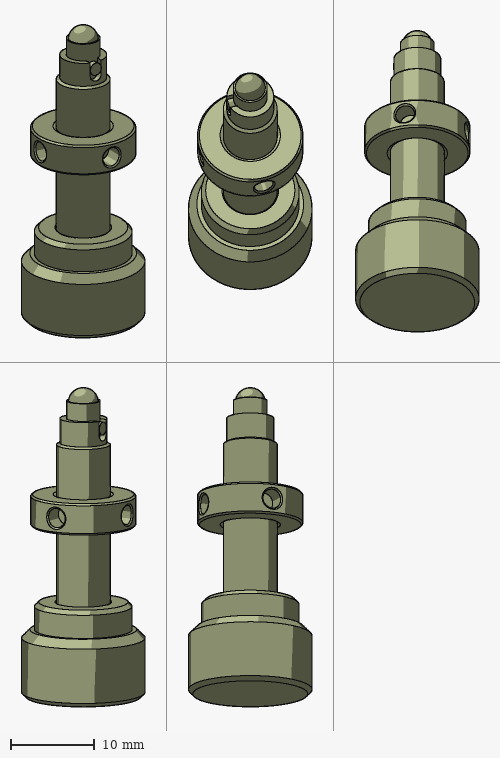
import cadquery as cq

base_shoulder_z = 8.1
hub_top_z = 11.45
nut_bottom_z = 20.7
nut_top_z = 24.5
spindle_shoulder_z = 30.75
collar_top_z = 33.7
plunger_top_z = 35.85
total_height = 37.4

base_radius = 7.37
hub_radius = 5.85
base_top_chamfer = 1.0
base_bottom_chamfer = 0.52
hub_chamfer = 0.52
base_bore_chamfer = 0.15

spindle_radius = 3.2
collar_radius = 2.8
shoulder_cone_height = 0.22
spindle_foot_z = base_shoulder_z

nut_radius = 6.3
nut_chamfer = 0.22
nut_bore_mouth_radius = 3.6
nut_bore_mouth_depth = 0.22
wrench_hole_count = 4
wrench_hole_radius = 1.15
wrench_hole_chamfer = 0.2
wrench_hole_depth = 2.5

plunger_radius = 2.02
plunger_foot_z = spindle_shoulder_z
ball_seat_radius = 1.8
ball_rise = total_height - plunger_top_z
ball_radius = (ball_seat_radius**2 + ball_rise**2) / (2 * ball_rise)
ball_center_z = total_height - ball_radius

pin_radius = 0.8
pin_end_x = 2.73
pin_top_gap = 0.2
pin_center_z = collar_top_z - pin_top_gap - pin_radius
slot_depth = 2.47


def disc(radius, bottom_z, top_z):
    return cq.Workplane("XY").workplane(offset=bottom_z).circle(radius).extrude(top_z - bottom_z)


def make_ball():
    return cq.Workplane("XY").sphere(ball_radius).translate((0, 0, ball_center_z))


def make_guide_pin():
    """Cylinder along +X, starting on the plunger axis."""
    return cq.Workplane("YZ").center(0, pin_center_z).circle(pin_radius).extrude(pin_end_x)


def make_plunger():
    body = disc(plunger_radius, plunger_foot_z, plunger_top_z)
    return body.cut(make_ball()).cut(make_guide_pin())


def make_slot_cutter():
    """Open-topped slot with a round bottom, running from the axis out through the +X side."""
    round_center_z = collar_top_z - slot_depth + pin_radius
    return (
        cq.Workplane("YZ")
        .moveTo(-pin_radius, collar_top_z)
        .lineTo(-pin_radius, round_center_z)
        .threePointArc((0, collar_top_z - slot_depth), (pin_radius, round_center_z))
        .lineTo(pin_radius, collar_top_z)
        .close()
        .extrude(spindle_radius)
    )


def make_spindle():
    """Turned shaft whose shoulder is a shallow cone, bored for the plunger and slotted for the pin."""
    shaft = (
        cq.Workplane("XZ")
        .moveTo(0, spindle_foot_z)
        .lineTo(spindle_radius, spindle_foot_z)
        .lineTo(spindle_radius, spindle_shoulder_z - shoulder_cone_height)
        .lineTo(collar_radius, spindle_shoulder_z)
        .lineTo(collar_radius, collar_top_z)
        .lineTo(0, collar_top_z)
        .close()
        .revolve(360, (0, 0, 0), (0, 1, 0))
    )
    plunger_bore = disc(plunger_radius, plunger_foot_z, collar_top_z)
    return shaft.cut(plunger_bore).cut(make_slot_cutter())


def make_wrench_hole(angle):
    """Cutter for one flat-bottomed radial hole at half the nut's height."""
    return (
        cq.Workplane("YZ")
        .workplane(offset=nut_radius - wrench_hole_depth)
        .center(0, (nut_bottom_z + nut_top_z) / 2)
        .circle(wrench_hole_radius)
        .extrude(2 * wrench_hole_depth)
        .rotate((0, 0, 0), (0, 0, 1), angle)
    )


def make_nut():
    """Ring with chamfered outer rims, a flared bore mouth at both ends and four wrench holes."""
    lower_mouth_z = nut_bottom_z + nut_bore_mouth_depth
    upper_mouth_z = nut_top_z - nut_bore_mouth_depth
    nut = (
        cq.Workplane("XZ")
        .moveTo(spindle_radius, lower_mouth_z)
        .lineTo(nut_bore_mouth_radius, nut_bottom_z)
        .lineTo(nut_radius - nut_chamfer, nut_bottom_z)
        .lineTo(nut_radius, nut_bottom_z + nut_chamfer)
        .lineTo(nut_radius, nut_top_z - nut_chamfer)
        .lineTo(nut_radius - nut_chamfer, nut_top_z)
        .lineTo(nut_bore_mouth_radius, nut_top_z)
        .lineTo(spindle_radius, upper_mouth_z)
        .close()
        .revolve(360, (0, 0, 0), (0, 1, 0))
    )
    for index in range(wrench_hole_count):
        nut = nut.cut(make_wrench_hole(index * 360 / wrench_hole_count))
    hole_mouths = nut.edges("not(%CIRCLE or %LINE)")
    return hole_mouths.chamfer(wrench_hole_chamfer)


def make_base():
    foot = disc(base_radius, 0, base_shoulder_z)
    foot = foot.faces(">Z").chamfer(base_top_chamfer).faces("<Z").chamfer(base_bottom_chamfer)
    hub = disc(hub_radius, base_shoulder_z, hub_top_z).faces(">Z").chamfer(hub_chamfer)
    base = foot.union(hub).cut(disc(spindle_radius, spindle_foot_z, hub_top_z))
    bore_rim = cq.selectors.RadiusNthSelector(0)
    return base.faces(">Z").edges(bore_rim).chamfer(base_bore_chamfer)


base = make_base()
spindle = make_spindle()
nut = make_nut()
plunger = make_plunger()
guide_pin = make_guide_pin()
ball = make_ball()

result = cq.Compound.makeCompound([
    base.val(),
    spindle.val(),
    nut.val(),
    plunger.val(),
    guide_pin.val(),
    ball.val(),
])